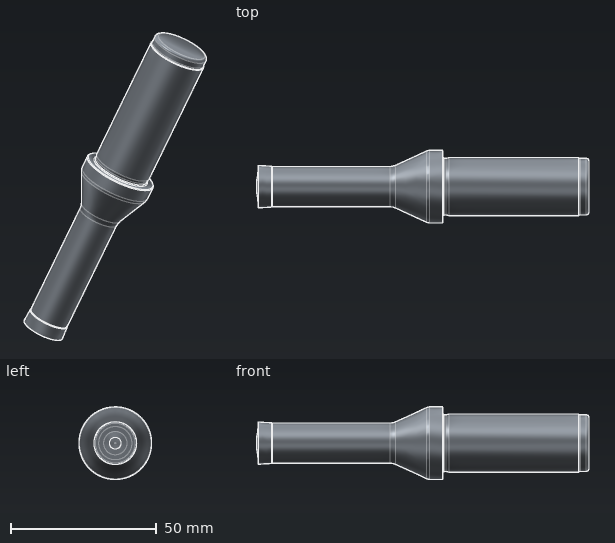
import cadquery as cq


front_length = 64.0
shank_length = 50.0
tip_x = -front_length

rim_diameter = 14.65
head_back_diameter = 14.1
face_diameter = 13.6
head_length = 5.3
rim_setback = 0.62
face_setback = 0.52
face_step_diameter = 11.4
face_step_setback = 0.48
nose_base_diameter = 8.0
nose_setback = 0.4
nose_tip_diameter = 4.0
dimple_depth = 0.3
dimple_floor_diameter = 0.4
joint_chamfer = 0.15

neck_diameter = 13.9
flange_diameter = 25.0
cone_start_x = tip_x + 46.8
cone_end_x = tip_x + 58.85
cone_start_fillet = 4.5
cone_end_fillet = 2.5
flange_chamfer = 0.3

shank_diameter = 20.0
relief_diameter = 19.5
relief_length = 1.0
relief_root_chamfer = 0.35
relief_taper_length = 1.0
pilot_length = 3.6
pilot_step_length = 0.7
shank_end_chamfer = 0.2
pilot_end_fillet = 1.0

joint_x = tip_x + head_length


def revolve_profile(points):
    """Turn a closed (x, radius) outline about the X axis."""
    return cq.Workplane("XY").polyline(points).close().revolve(360, (0, 0, 0), (1, 0, 0))


def fillet_ring(body, x, radius):
    """Round the single circular edge whose centre is on the axis at x."""
    return body.edges(cq.selectors.NearestToPointSelector((x, 0, 0))).fillet(radius)


def make_cutting_head():
    """Head with a proud, dimpled nose, a rim and a back-tapered side."""
    return revolve_profile([
        (tip_x + dimple_depth, 0),
        (tip_x + dimple_depth, dimple_floor_diameter / 2),
        (tip_x, nose_tip_diameter / 2),
        (tip_x + nose_setback, nose_base_diameter / 2),
        (tip_x + face_step_setback, face_step_diameter / 2),
        (tip_x + face_setback, face_diameter / 2),
        (tip_x + rim_setback, rim_diameter / 2),
        (joint_x - joint_chamfer, head_back_diameter / 2),
        (joint_x, head_back_diameter / 2 - joint_chamfer),
        (joint_x, 0),
    ])


def make_holder():
    """Slim neck, cone, stop flange and cylindrical shank."""
    neck_radius = neck_diameter / 2
    flange_radius = flange_diameter / 2
    shank_radius = shank_diameter / 2
    relief_radius = relief_diameter / 2
    taper_end_x = relief_length + relief_taper_length
    pilot_x = shank_length - pilot_length
    holder = revolve_profile([
        (joint_x, 0),
        (joint_x, neck_radius - joint_chamfer),
        (joint_x + joint_chamfer, neck_radius),
        (cone_start_x, neck_radius),
        (cone_end_x, flange_radius),
        (-flange_chamfer, flange_radius),
        (0, flange_radius - flange_chamfer),
        (0, relief_radius + relief_root_chamfer),
        (relief_root_chamfer, relief_radius),
        (relief_length, relief_radius),
        (taper_end_x, shank_radius),
        (pilot_x, shank_radius),
        (pilot_x + shank_end_chamfer, shank_radius - shank_end_chamfer),
        (pilot_x + pilot_step_length, relief_radius),
        (shank_length, relief_radius),
        (shank_length, 0),
    ])
    holder = fillet_ring(holder, cone_start_x, cone_start_fillet)
    holder = fillet_ring(holder, cone_end_x, cone_end_fillet)
    return fillet_ring(holder, shank_length, pilot_end_fillet)


cutting_head = make_cutting_head()
holder = make_holder()

result = cq.Compound.makeCompound([cutting_head.val(), holder.val()])